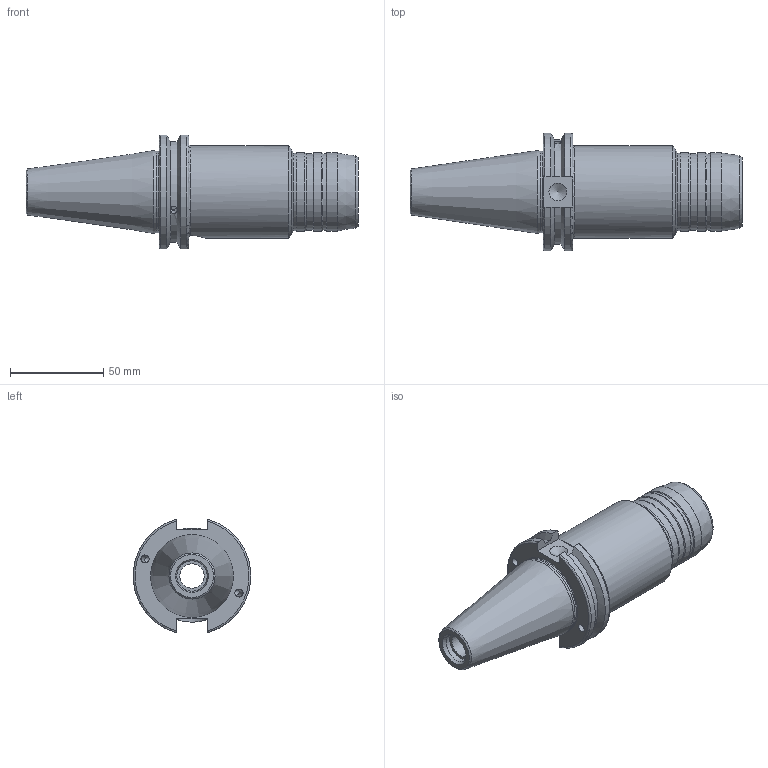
import cadquery as cq
import math

SMALL_END_X = -68.25
FLANGE_START_X = 3.2
FLANGE_END_X = 19.1
GRIP_GROOVE_X = 11.1
NOSE_END_X = 110.0

TAPER_RATIO = 7 / 24
GAUGE_DIA = 44.45
SMALL_END_CHAMFER = 0.8
RELIEF_DIA = 43.6
RELIEF_START_X = 1.7
RELIEF_FILLET = 0.4

FLANGE_DIA = 63.26
FLANGE_FILLET = 1.0
GRIP_GROOVE_DIA = 56.25
GRIP_GROOVE_FLOOR_WIDTH = 3.5
GRIP_GROOVE_FLANK_ANGLE = 30

BODY_DIA = 49.5
BODY_FILLET = 1.0
SHOULDER_START_X = 72.6
SHOULDER_CHAMFER = 1.7
SHOULDER_END_X = 75.3
NECK_DIA = 42.0
NECK_GROOVE_DIA = 41.0
NECK_RELIEF_DIA = 41.6
NECK_START_X = 77.0

NOSE_GROOVES = [(81.3, 86.3, 0.9, 0.4), (90.6, 93.3, 0.6, 0.4)]
NOSE_CONE_START_X = 98.8
NOSE_CONE_END_X = 108.4
NOSE_CONE_END_DIA = 39.0
NOSE_FACE_DIA = 36.8

BORE_DIA = 13.0
SOCKET_DIA = 16.3
SOCKET_MOUTH_DIA = 17.8
SOCKET_DEPTH = 4.8
SOCKET_MOUTH_DEPTH = 2.0

SLOT_WIDTH = 16.4
UPPER_FLOOR_Z = 25.0
LOWER_FLOOR_Z = -22.7
LOWER_SLOT_END_X = 27.9

DIMPLE_DIA = 9.53
DIMPLE_TIP_ANGLE = 118

COOLANT_ANGLES = (20, 200)
INLET_DIA = 4.2
INLET_FACE_RADIUS = 26.8
INLET_SLOPE = 20
RADIAL_HOLE_DIA = 4.0


def taper_radius(x):
    return (GAUGE_DIA + TAPER_RATIO * x) / 2


def arc_midpoint_inset(radius):
    """Distance of a quarter arc's midpoint from each of the two lines it joins."""
    return radius * (1 - math.sqrt(0.5))


def turned_blank():
    """Revolve the outer profile, from the small end to the nose face."""
    flange_r = FLANGE_DIA / 2
    floor_r = GRIP_GROOVE_DIA / 2
    floor_half = GRIP_GROOVE_FLOOR_WIDTH / 2
    mouth_half = floor_half + (flange_r - floor_r) * math.tan(math.radians(GRIP_GROOVE_FLANK_ANGLE))
    flange_mid = arc_midpoint_inset(FLANGE_FILLET)
    relief_mid = arc_midpoint_inset(RELIEF_FILLET)
    body_mid = arc_midpoint_inset(BODY_FILLET)
    relief_r = RELIEF_DIA / 2
    body_r = BODY_DIA / 2
    neck_r = NECK_DIA / 2
    groove_r = NECK_GROOVE_DIA / 2
    chamfer_x = SMALL_END_X + SMALL_END_CHAMFER

    profile = (
        cq.Workplane("XY")
        .moveTo(SMALL_END_X, 0)
        .lineTo(SMALL_END_X, taper_radius(chamfer_x) - SMALL_END_CHAMFER)
        .lineTo(chamfer_x, taper_radius(chamfer_x))
        .lineTo(0, GAUGE_DIA / 2)
        .lineTo(RELIEF_START_X, relief_r)
        .lineTo(FLANGE_START_X - RELIEF_FILLET, relief_r)
        .threePointArc(
            (FLANGE_START_X - relief_mid, relief_r + relief_mid),
            (FLANGE_START_X, relief_r + RELIEF_FILLET),
        )
        .lineTo(FLANGE_START_X, flange_r - FLANGE_FILLET)
        .threePointArc(
            (FLANGE_START_X + flange_mid, flange_r - flange_mid),
            (FLANGE_START_X + FLANGE_FILLET, flange_r),
        )
        .lineTo(GRIP_GROOVE_X - mouth_half, flange_r)
        .lineTo(GRIP_GROOVE_X - floor_half, floor_r)
        .lineTo(GRIP_GROOVE_X + floor_half, floor_r)
        .lineTo(GRIP_GROOVE_X + mouth_half, flange_r)
        .lineTo(FLANGE_END_X - FLANGE_FILLET, flange_r)
        .threePointArc(
            (FLANGE_END_X - flange_mid, flange_r - flange_mid),
            (FLANGE_END_X, flange_r - FLANGE_FILLET),
        )
        .lineTo(FLANGE_END_X, body_r + BODY_FILLET)
        .threePointArc(
            (FLANGE_END_X + body_mid, body_r + body_mid),
            (FLANGE_END_X + BODY_FILLET, body_r),
        )
        .lineTo(SHOULDER_START_X, body_r)
        .lineTo(SHOULDER_START_X + SHOULDER_CHAMFER, body_r - SHOULDER_CHAMFER)
        .lineTo(SHOULDER_END_X, NECK_RELIEF_DIA / 2)
        .lineTo(NECK_START_X, neck_r)
    )
    for start, end, start_wall, end_wall in NOSE_GROOVES:
        profile = (
            profile.lineTo(start, neck_r)
            .lineTo(start + start_wall, groove_r)
            .lineTo(end - end_wall, groove_r)
            .lineTo(end, neck_r)
        )
    return (
        profile.lineTo(NOSE_CONE_START_X, neck_r)
        .lineTo(NOSE_CONE_END_X, NOSE_CONE_END_DIA / 2)
        .lineTo(NOSE_END_X, NOSE_FACE_DIA / 2)
        .lineTo(NOSE_END_X, 0)
        .close()
        .revolve(360, (0, 0, 0), (1, 0, 0))
    )


def central_bore():
    """Through bore with a countersunk socket at the small end."""
    shoulder_x = SMALL_END_X + SOCKET_DEPTH
    return (
        cq.Workplane("XY")
        .moveTo(SMALL_END_X, 0)
        .lineTo(SMALL_END_X, SOCKET_MOUTH_DIA / 2)
        .lineTo(SMALL_END_X + SOCKET_MOUTH_DEPTH, SOCKET_DIA / 2)
        .lineTo(shoulder_x, SOCKET_DIA / 2)
        .lineTo(shoulder_x, BORE_DIA / 2)
        .lineTo(NOSE_END_X, BORE_DIA / 2)
        .lineTo(NOSE_END_X, 0)
        .close()
        .revolve(360, (0, 0, 0), (1, 0, 0))
    )


def upper_slot():
    """Drive slot across the whole flange, clear of the body."""
    flange_width = FLANGE_END_X - FLANGE_START_X
    return cq.Workplane("XY", origin=(FLANGE_START_X, 0, UPPER_FLOOR_Z)).box(
        flange_width, SLOT_WIDTH, FLANGE_DIA, centered=(False, True, False)
    )


def lower_slot():
    """Deeper drive slot that runs into the body and ends in a half round."""
    half = SLOT_WIDTH / 2
    straight_end = LOWER_SLOT_END_X - half
    return (
        cq.Workplane("XY", origin=(0, 0, LOWER_FLOOR_Z))
        .moveTo(FLANGE_START_X, -half)
        .lineTo(straight_end, -half)
        .threePointArc((LOWER_SLOT_END_X, 0), (straight_end, half))
        .lineTo(FLANGE_START_X, half)
        .close()
        .extrude(-FLANGE_DIA)
    )


def dimple():
    """Conical spot centred in the upper slot floor."""
    radius = DIMPLE_DIA / 2
    depth = radius / math.tan(math.radians(DIMPLE_TIP_ANGLE / 2))
    cone = cq.Solid.makeCone(
        radius, 0, depth, cq.Vector(GRIP_GROOVE_X, 0, UPPER_FLOOR_Z), cq.Vector(0, 0, -1)
    )
    return cq.Workplane(obj=cone)


def coolant_passage(angle):
    """Sloping inlet from the taper-side flange face, meeting a radial hole from the grip groove."""
    slope = math.radians(INLET_SLOPE)
    run = GRIP_GROOVE_X - FLANGE_START_X
    meeting_radius = INLET_FACE_RADIUS - run * math.tan(slope)
    radial_hole_floor = meeting_radius - RADIAL_HOLE_DIA / 2
    along_inlet = cq.Vector(math.cos(slope), -math.sin(slope), 0)
    face_point = cq.Vector(FLANGE_START_X, INLET_FACE_RADIUS, 0)
    overrun = INLET_DIA
    inlet = cq.Solid.makeCylinder(
        INLET_DIA / 2,
        run / math.cos(slope) + overrun,
        face_point - along_inlet * overrun,
        along_inlet,
    )
    radial_hole = cq.Solid.makeCylinder(
        RADIAL_HOLE_DIA / 2,
        FLANGE_DIA / 2 - radial_hole_floor,
        cq.Vector(GRIP_GROOVE_X, radial_hole_floor, 0),
        cq.Vector(0, 1, 0),
    )
    passage = cq.Workplane(obj=inlet).union(cq.Workplane(obj=radial_hole))
    return passage.rotate((0, 0, 0), (1, 0, 0), angle)


result = turned_blank().cut(central_bore()).cut(upper_slot()).cut(lower_slot()).cut(dimple())
for coolant_angle in COOLANT_ANGLES:
    result = result.cut(coolant_passage(coolant_angle))